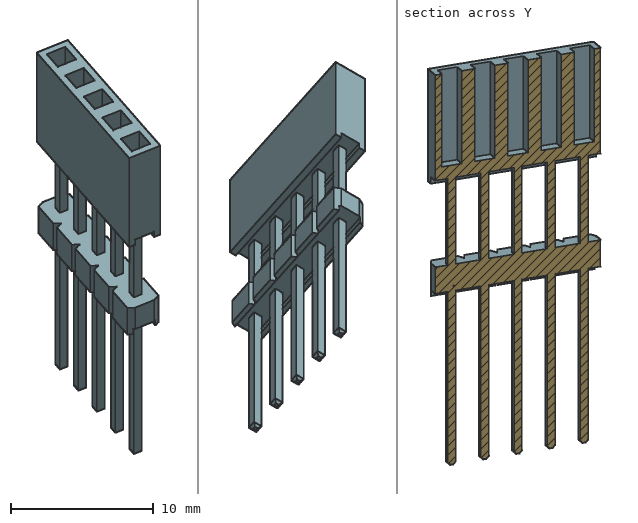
import cadquery as cq


pin_count = 5
pitch = 2.54
row_length = pin_count * pitch
row_width = 2.54
total_height = 29.64

housing_height = 8.5
housing_channel_width = 1.54
housing_channel_depth = 0.5
socket_size = 1.5
socket_floor = 1.0
socket_depth = housing_height - housing_channel_depth - socket_floor

carrier_gap = 6.0
carrier_height = 2.54
carrier_channel_width = 1.8
carrier_channel_depth = 0.5
corner_cut_x = 0.25
corner_cut_y = 0.5

pin_size = 0.64
tip_length = 0.2
tip_size = pin_size - 2 * tip_length

carrier_top = -carrier_gap
carrier_bottom = carrier_top - carrier_height
pin_end = housing_height - total_height
tip_start = pin_end + tip_length
pin_top = housing_channel_depth + socket_floor / 2

pin_positions = [(i - (pin_count - 1) / 2) * pitch for i in range(pin_count)]


def block(x, size_x, size_y, bottom, height):
    """Upright box centred at (x, 0) with its underside at the given level."""
    return cq.Workplane("XY", origin=(x, 0, bottom)).rect(size_x, size_y).extrude(height)


def make_housing():
    """Box with one square socket per pin and a channel along its foot."""
    housing = block(0, row_length, row_width, 0, housing_height)
    housing = housing.cut(block(0, row_length, housing_channel_width, 0, housing_channel_depth))
    socket_bottom = housing_height - socket_depth
    for x in pin_positions:
        housing = housing.cut(block(x, socket_size, socket_size, socket_bottom, socket_depth))
    return housing


def make_carrier_cell(x):
    """One octagonal cell; the corner cuts of adjacent cells form V notches."""
    end_x = pitch / 2
    side_y = row_width / 2
    face_x = end_x - corner_cut_x
    face_y = side_y - corner_cut_y
    outline = [
        (-face_x, -side_y),
        (face_x, -side_y),
        (end_x, -face_y),
        (end_x, face_y),
        (face_x, side_y),
        (-face_x, side_y),
        (-end_x, face_y),
        (-end_x, -face_y),
    ]
    base = cq.Workplane("XY", origin=(x, 0, carrier_bottom))
    return base.polyline(outline).close().extrude(carrier_height)


def make_carrier():
    """Row of joined cells with a channel along the underside."""
    carrier = make_carrier_cell(pin_positions[0])
    for x in pin_positions[1:]:
        carrier = carrier.union(make_carrier_cell(x))
    return carrier.cut(block(0, row_length, carrier_channel_width, carrier_bottom, carrier_channel_depth))


def make_pin(x):
    """Square pin with a tapered lower tip."""
    shank = block(x, pin_size, pin_size, tip_start, pin_top - tip_start)
    tip = (
        cq.Workplane("XY", origin=(x, 0, pin_end))
        .rect(tip_size, tip_size)
        .workplane(offset=tip_length)
        .rect(pin_size, pin_size)
        .loft(ruled=True)
    )
    return shank.union(tip)


result = make_housing().union(make_carrier())
for pin_x in pin_positions:
    result = result.union(make_pin(pin_x))